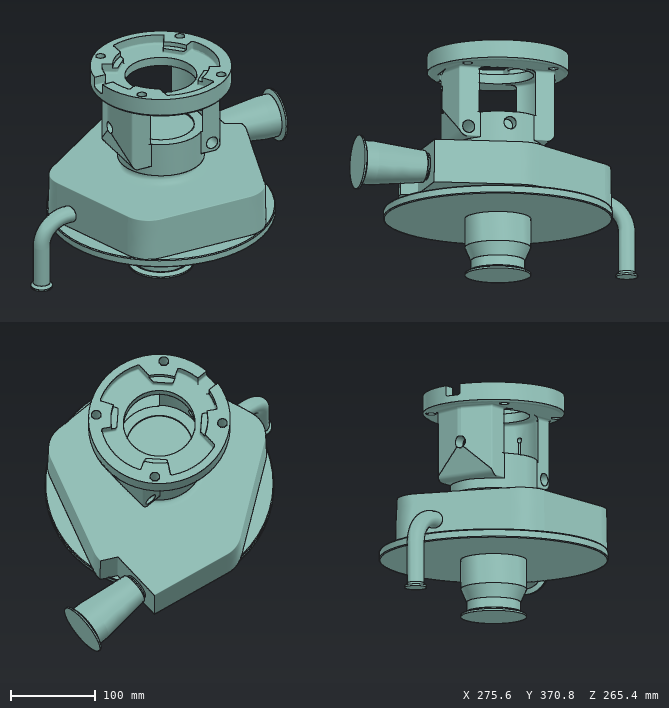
import cadquery as cq
import math

inlet_bottom = -68.2
plate_top = 10.0
casing_top = 61.5
neck_top = 76.7
leg_bottom = 88.2
collar_top = 118.5
flange_bottom = 173.0
flange_top = 197.2

plate_radius = 135.0
plate_edge_chamfer = 1.0

pentagon_step = 360 / 5
casing_apothem = 115.3
casing_corner_radius = 35.2
casing_draft = 1.1
casing_edge_fillet = 1.0
casing_overlap = 0.5
outlet_face_y = 115.0
outlet_face_left = -123.5
outlet_face_right = -57.5
shoulder_left = -48.0
shoulder_y = 134.0

neck_radius = 45.0
neck_fillet = 10.0
collar_radius = 51.0
collar_recess_radius = 39.3
collar_recess_depth = 2.0
collar_hole_radius = 7.5
collar_hole_height = 105.0
collar_hole_depth = 15.0

leg_half_width = 39.3
leg_side_y = 58.2
leg_ridge_y = 69.0
leg_ridge_half_width = 2.5
leg_slope_top = 126.8
leg_toe_y = 56.0
leg_side_fillet = 2.2
leg_toe_fillet = 10.8
leg_bottom_fillet = 1.5
leg_root_fillet = 3.7
leg_bore_radius = 52.3
cross_hole_radius = 7.5
cross_hole_y = 47.5
cross_hole_height = 100.0
front_hole_radius = 7.0
front_hole_height = 131.0
keyhole_radius = 3.0
keyhole_height = 152.7
keyhole_slot_width = 3.0
keyhole_slot_bottom = 123.5

flange_radius = 83.5
flange_edge_chamfer = 3.0
flange_bore_radius = 42.3
pocket_side_radius = 73.8
pocket_end_radius = 69.5
pocket_depth = 13.0
pocket_fillet = 3.0
pocket_corner_radius = 2.2
lobe_half_angle = 14.5
lobe_tip_distance = 49.3
lower_lobe_side_y = 27.5
ledge_radius = 57.0
ledge_depth = 5.5
drain_slot_width = 20.0
bolt_offset = 52.5
bolt_hole_radius = 5.5

inlet_radius = 39.0
inlet_cone_top = -35.0
inlet_cone_bottom = -50.8
inlet_throat_radius = 32.0
inlet_rim_radius = 39.0
inlet_rim_taper_top = -63.0
inlet_rim_root_radius = 33.5

outlet_x = -91.2
outlet_z = 35.2
outlet_end_y = 199.5
outlet_radius = 26.0
outlet_rim_radius = 32.0
outlet_root_radius = 16.0
outlet_cone_radius = 19.0
outlet_cone_bottom_y = 116.0
outlet_cone_start_y = 118.5
outlet_cone_end_y = 180.0
outlet_rim_start_y = 194.5

drain_radius = 10.0
drain_z = 28.0
drain_down_y = -158.3
drain_bend_radius = 33.7
drain_bottom = -59.5
drain_rim_radius = 13.0
drain_rim_height = 5.5

rim_thickness = 2.2
tolerance = 0.05


def at_angle(distance, degrees):
    """Point at a distance from the main axis in a direction counted from +X."""
    return (distance * math.cos(math.radians(degrees)), distance * math.sin(math.radians(degrees)))


def cylinder(radius, bottom, top):
    return cq.Workplane("XY").workplane(offset=bottom).circle(radius).extrude(top - bottom)


def turned(points):
    """Solid of revolution about Z from (radius, height) points, closed along the axis."""
    outline = [(0, points[0][1])] + points + [(0, points[-1][1])]
    return cq.Workplane("XZ").polyline(outline).close().revolve(360, (0, 0, 0), (0, 1, 0))


def back_plate():
    return cylinder(plate_radius, 0, plate_top).edges().chamfer(plate_edge_chamfer)


def casing():
    corner_distance = casing_apothem / math.cos(math.radians(pentagon_step / 2))
    upper_face = math.radians(pentagon_step)
    shoulder_x = (casing_apothem - shoulder_y * math.sin(upper_face)) / math.cos(upper_face)
    rounded = [at_angle(corner_distance, 180 + step * pentagon_step) for step in range(4)]
    rounded.append((shoulder_x, shoulder_y))
    sharp = [
        (shoulder_left, shoulder_y),
        (outlet_face_right, outlet_face_y),
        (outlet_face_left, outlet_face_y),
    ]
    corners = [cq.Vector(x, y, plate_top - casing_overlap) for x, y in rounded + sharp]
    face = cq.Face.makeFromWires(cq.Wire.makePolygon(corners, close=True))
    round_vertices = [
        vertex
        for vertex in face.Vertices()
        if all(math.dist((vertex.X, vertex.Y), point) > tolerance for point in sharp)
    ]
    outline = face.fillet2D(casing_corner_radius, round_vertices).outerWire()
    height = casing_top - plate_top + casing_overlap
    body = cq.Workplane("XY").add(outline).toPending().extrude(height, taper=casing_draft)
    top_edges = body.faces(">Z").edges().filter(
        lambda edge: edge.Center().x > shoulder_left or edge.BoundingBox().ymin < outlet_face_y / 2
    )
    return body.newObject(top_edges.vals()).fillet(casing_edge_fillet)


def neck_and_collar():
    neck_profile = (
        cq.Workplane("XZ")
        .moveTo(0, plate_top)
        .lineTo(neck_radius + neck_fillet, plate_top)
        .lineTo(neck_radius + neck_fillet, casing_top)
        .radiusArc((neck_radius, casing_top + neck_fillet), neck_fillet)
        .lineTo(neck_radius, neck_top)
        .lineTo(0, neck_top)
        .close()
    )
    neck = neck_profile.revolve(360, (0, 0, 0), (0, 1, 0))
    return neck.union(cylinder(collar_radius, neck_top, collar_top))


def leg():
    """Leg on the -Y side: a ridged prism whose foot slopes back to the collar."""
    half_section = [(leg_half_width, 0), (leg_half_width, -leg_side_y), (leg_ridge_half_width, -leg_ridge_y)]
    mirrored = [(-x, y) for x, y in reversed(half_section)]
    prism = cq.Workplane("XY").workplane(offset=leg_bottom).polyline(half_section + mirrored).close()
    prism = prism.extrude(flange_bottom - leg_bottom)
    prism = prism.edges("|Z").edges("<X or >X").edges("<Y").fillet(leg_side_fillet)
    profile = (
        cq.Workplane("YZ")
        .moveTo(0, flange_bottom)
        .lineTo(-leg_ridge_y, flange_bottom)
        .lineTo(-leg_ridge_y, leg_slope_top)
        .lineTo(-leg_toe_y, leg_bottom)
        .lineTo(0, leg_bottom)
        .close()
        .extrude(leg_half_width, both=True)
    )
    front_block = (
        cq.Workplane("XY")
        .box(2 * leg_half_width, 2 * leg_ridge_y, flange_bottom - leg_bottom, centered=(True, True, False))
        .translate((0, 0, leg_bottom))
    )
    front_block = front_block.faces("<Z").edges("|Y").fillet(leg_bottom_fillet)
    toe_edge = cq.selectors.NearestToPointSelector((0, -leg_toe_y, leg_bottom))
    profile = profile.edges(toe_edge).fillet(leg_toe_fillet)
    return prism.intersect(profile).intersect(front_block)


def flange():
    disc = cylinder(flange_radius, flange_bottom, flange_top)
    return disc.faces("<Z").edges().chamfer(flange_edge_chamfer)


def lobes():
    """Four bolt lobes that reach into the pocket; the -Y pair has outer sides parallel to X."""
    reach = 2 * flange_radius
    tip_radius = lobe_tip_distance / math.cos(math.radians(lobe_half_angle))
    outer_angle = 45 - lobe_half_angle
    inner_angle = 45 + lobe_half_angle
    upper = [
        at_angle(tip_radius, outer_angle),
        at_angle(reach, outer_angle),
        at_angle(reach, inner_angle),
        at_angle(tip_radius, inner_angle),
    ]
    lower = [
        (2 * lobe_tip_distance * math.cos(math.radians(45)) - lower_lobe_side_y, -lower_lobe_side_y),
        (reach, -lower_lobe_side_y),
        at_angle(reach, -inner_angle),
        at_angle(tip_radius, -inner_angle),
    ]
    floor = cq.Workplane("XY").workplane(offset=flange_top - pocket_depth)
    pair = floor.polyline(upper).close().extrude(pocket_depth)
    pair = pair.union(floor.polyline(lower).close().extrude(pocket_depth))
    return pair.union(pair.mirror("YZ"))


def flange_pocket():
    """Recess in the flange top between the lobes, with a drain slot out through the -Y rim."""
    floor_z = flange_top - pocket_depth
    side_band = (
        cq.Workplane("XY")
        .box(2 * pocket_side_radius, 2 * lobe_tip_distance, pocket_depth, centered=(True, True, False))
        .translate((0, 0, floor_z))
    )
    recess = cylinder(pocket_side_radius, floor_z, flange_top).intersect(side_band)
    recess = recess.union(cylinder(pocket_end_radius, floor_z, flange_top))
    recess = recess.cut(lobes()).edges("|Z").fillet(pocket_corner_radius)
    slot = (
        cq.Workplane("XY")
        .box(drain_slot_width, flange_radius, pocket_depth, centered=(True, True, False))
        .translate((0, -flange_radius, floor_z))
    )
    recess = recess.union(slot).faces("<Z").edges().fillet(pocket_fillet)
    return recess.union(cylinder(ledge_radius, flange_top - ledge_depth, flange_top))


def bolt_holes():
    return (
        cq.Workplane("XY")
        .workplane(offset=flange_bottom)
        .rect(2 * bolt_offset, 2 * bolt_offset, forConstruction=True)
        .vertices()
        .circle(bolt_hole_radius)
        .extrude(flange_top - flange_bottom)
    )


def side_hole(radius, y, z, x_start, x_end):
    """Cutter for a round hole along X."""
    return cq.Workplane("YZ").workplane(offset=x_start).center(y, z).circle(radius).extrude(x_end - x_start)


def leg_holes():
    cross = side_hole(cross_hole_radius, cross_hole_y, cross_hole_height, -collar_radius, collar_radius)
    front = cq.Workplane("XZ").center(0, front_hole_height).circle(front_hole_radius).extrude(leg_ridge_y)
    keyhole = cq.Workplane("XZ").center(0, keyhole_height).circle(keyhole_radius).extrude(-leg_ridge_y)
    slot_height = keyhole_height - keyhole_slot_bottom
    slot = (
        cq.Workplane("XY")
        .box(keyhole_slot_width, leg_ridge_y, slot_height, centered=(True, False, False))
        .translate((0, 0, keyhole_slot_bottom))
    )
    return cross.union(front).union(keyhole).union(slot)


def frame():
    """Collar, both legs and flange with everything cut into them."""
    body = neck_and_collar().union(leg()).union(leg().mirror("XZ")).union(flange())
    body = body.cut(cylinder(leg_bore_radius, collar_top, flange_bottom))
    root_corner = cq.Vector(leg_half_width, leg_ridge_y, tolerance)
    flange_underside = cq.Vector(0, 0, flange_bottom)
    root_box = cq.selectors.BoxSelector(
        (flange_underside - root_corner).toTuple(), (flange_underside + root_corner).toTuple()
    )
    body = body.edges(root_box).fillet(leg_root_fillet)
    body = body.cut(cylinder(flange_bore_radius, flange_bottom, flange_top))
    body = body.cut(cylinder(collar_recess_radius, collar_top - collar_recess_depth, collar_top))
    collar_hole_end = collar_hole_depth - collar_radius
    collar_hole = side_hole(collar_hole_radius, 0, collar_hole_height, -collar_radius, collar_hole_end)
    return body.cut(flange_pocket()).cut(bolt_holes()).cut(leg_holes()).cut(collar_hole)


def inlet_pipe():
    return turned([
        (inlet_radius, plate_top),
        (inlet_radius, inlet_cone_top),
        (inlet_throat_radius, inlet_cone_bottom),
        (inlet_throat_radius, inlet_rim_taper_top),
        (inlet_rim_root_radius, inlet_rim_taper_top),
        (inlet_rim_radius, inlet_bottom + rim_thickness),
        (inlet_rim_radius, inlet_bottom),
    ])


def outlet_pipe():
    pipe = turned([
        (outlet_root_radius, 0),
        (outlet_root_radius, outlet_cone_bottom_y),
        (outlet_cone_radius, outlet_cone_start_y),
        (outlet_radius, outlet_cone_end_y),
        (outlet_radius, outlet_rim_start_y),
        (outlet_rim_radius, outlet_end_y - rim_thickness),
        (outlet_rim_radius, outlet_end_y),
    ])
    return pipe.rotate((0, 0, 0), (1, 0, 0), -90).translate((outlet_x, 0, outlet_z))


def drain_pipe():
    path = (
        cq.Workplane("YZ")
        .lineTo(drain_down_y + drain_bend_radius, 0)
        .radiusArc((drain_down_y, -drain_bend_radius), -drain_bend_radius)
        .lineTo(drain_down_y, drain_bottom - drain_z)
    )
    pipe = cq.Workplane("XZ").circle(drain_radius).sweep(path).translate((0, 0, drain_z))
    rim = turned([
        (drain_radius, drain_rim_height),
        (drain_rim_radius, rim_thickness),
        (drain_rim_radius, 0),
    ])
    return pipe.union(rim.translate((0, drain_down_y, drain_bottom)))


housing = back_plate().union(casing()).union(frame())
result = housing.union(inlet_pipe()).union(outlet_pipe()).union(drain_pipe())